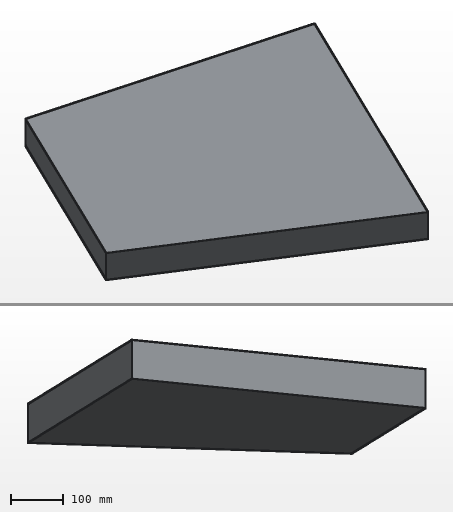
import cadquery as cq

depth = 600.0
back_width = 528.5
front_width = 376.0
thickness = 76.0

outline = [
    (0, 0),
    (front_width, 0),
    (back_width, depth),
    (0, depth),
]

result = cq.Workplane("XY").polyline(outline).close().extrude(thickness)